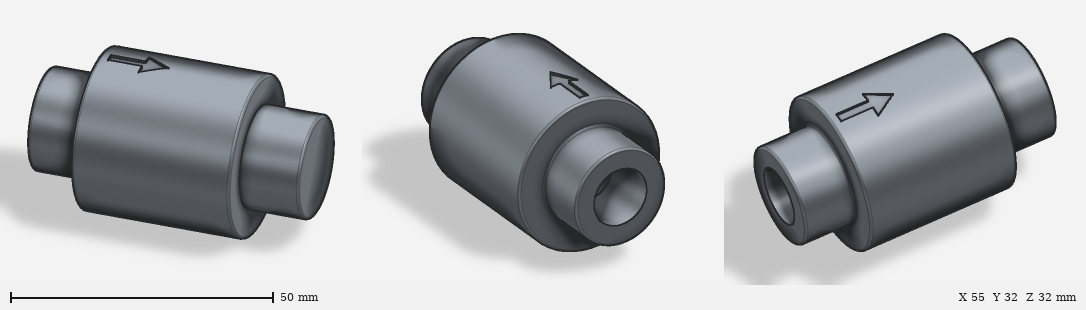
import cadquery as cq

total_length = 55.0
inlet_length = 11.0
body_length = 32.0
body_diameter = 32.0
neck_diameter = 20.35
bore_diameter = 11.9
bore_depth = 12.0
bore_tip_depth = 3.45
edge_radius = 0.5

arrow_start = 2.0
arrow_length = 12.0
arrow_head_length = 5.0
arrow_head_width = 6.0
arrow_shaft_width = 2.0
arrow_depth = 0.5

inlet_end = -total_length / 2
outlet_end = total_length / 2
body_start = inlet_end + inlet_length
body_end = body_start + body_length
body_radius = body_diameter / 2
neck_radius = neck_diameter / 2
bore_radius = bore_diameter / 2


def make_body():
    """Turned outside: inlet neck, body and outlet neck with rounded edges."""
    r = edge_radius
    arc_reach = r * 0.5**0.5
    inset = r - arc_reach
    profile = (
        cq.Workplane("XY")
        .moveTo(inlet_end, 0)
        .lineTo(inlet_end, neck_radius - r)
        .threePointArc((inlet_end + inset, neck_radius - inset), (inlet_end + r, neck_radius))
        .lineTo(body_start - r, neck_radius)
        .threePointArc((body_start - inset, neck_radius + inset), (body_start, neck_radius + r))
        .lineTo(body_start, body_radius - r)
        .threePointArc((body_start + inset, body_radius - inset), (body_start + r, body_radius))
        .lineTo(body_end - r, body_radius)
        .threePointArc((body_end - inset, body_radius - inset), (body_end, body_radius - r))
        .lineTo(body_end, neck_radius)
        .lineTo(outlet_end - r, neck_radius)
        .threePointArc((outlet_end - inset, neck_radius - inset), (outlet_end, neck_radius - r))
        .lineTo(outlet_end, 0)
        .close()
    )
    return profile.revolve(360, (0, 0, 0), (1, 0, 0))


def make_bore():
    """Blind inlet bore with a conical bottom."""
    bore_end = inlet_end + bore_depth
    profile = (
        cq.Workplane("XY")
        .moveTo(inlet_end, 0)
        .lineTo(inlet_end, bore_radius)
        .lineTo(bore_end, bore_radius)
        .lineTo(bore_end + bore_tip_depth, 0)
        .close()
    )
    return profile.revolve(360, (0, 0, 0), (1, 0, 0))


def make_arrow():
    """Arrow-shaped prism reaching down through the top of the body."""
    tail = body_start + arrow_start
    tip = tail + arrow_length
    head_back = tip - arrow_head_length
    half_shaft = arrow_shaft_width / 2
    half_head = arrow_head_width / 2
    return (
        cq.Workplane("XY")
        .workplane(offset=body_radius - arrow_depth)
        .polyline([
            (tail, -half_shaft),
            (head_back, -half_shaft),
            (head_back, -half_head),
            (tip, 0),
            (head_back, half_head),
            (head_back, half_shaft),
            (tail, half_shaft),
        ])
        .close()
        .extrude(2 * arrow_depth)
    )


result = make_body().cut(make_bore()).cut(make_arrow())